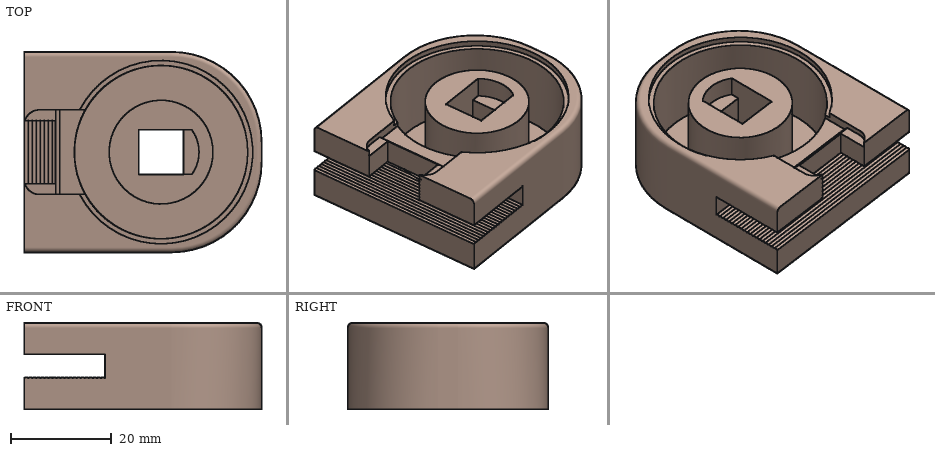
import cadquery as cq

LENGTH = 47.1
WIDTH = 39.8
HEIGHT = 17.2
CORNER_RADIUS = 17.9
EDGE_FILLET = 1.0

BOWL_X = 27.15
BOWL_DIAMETER = 34.4
BOWL_FLOOR_Z = 0.5
RIM_DIAMETER = 36.35
LEDGE_DEPTH = 1.2
BOSS_DIAMETER = 20.6

SQUARE_SIDE = 8.8
POCKET_RADIUS = 7.55
POCKET_FLOOR_Z = 11.7

SLOT_DEPTH = 16.0
SLOT_FLOOR_Z = 6.2
SLOT_TOP_Z = 10.95
RIDGE_COUNT = 20
RIDGE_HEIGHT = 0.2

CHANNEL_WIDTH = 16.75
CHANNEL_CORNER_RADIUS = 3.0
RAMP_START = 6.25
RAMP_LENGTH = 0.8
RAMP_DROP = RAMP_LENGTH

NOTCH_WIDTH = 12.55
NOTCH_LENGTH = 6.12

LEDGE_Z = HEIGHT - LEDGE_DEPTH
CHANNEL_FLOOR_Z = LEDGE_Z - RAMP_DROP


def box(x_start, x_end, width, z_start, z_end):
    """Block between two X and two Z levels, centred across Y."""
    size = (x_end - x_start, width, z_end - z_start)
    return cq.Workplane("XY").box(*size, centered=(False, True, False)).translate((x_start, 0, z_start))


def cylinder(diameter, z_start, z_end):
    """Vertical cylinder on the bowl axis."""
    return cq.Workplane("XY", origin=(BOWL_X, 0, z_start)).circle(diameter / 2).extrude(z_end - z_start)


def housing():
    """Block with two rounded rear corners and a rounded top edge, square at the front end."""
    block = box(0, LENGTH, WIDTH, 0, HEIGHT).edges("|Z and >X").fillet(CORNER_RADIUS)
    return block.faces(">Z").edges("not <X").fillet(EDGE_FILLET)


def bowl():
    """Ring-shaped cavity around the boss, with the wider rim step on top."""
    boss = cylinder(BOSS_DIAMETER, BOWL_FLOOR_Z, LEDGE_Z)
    cavity = cylinder(BOWL_DIAMETER, BOWL_FLOOR_Z, HEIGHT).cut(boss)
    return cavity.union(cylinder(RIM_DIAMETER, LEDGE_Z, HEIGHT))


def drive_hole():
    """Square hole through the boss, opened towards +X by a round-ended pocket."""
    square_start = BOWL_X - SQUARE_SIDE / 2
    square = box(square_start, square_start + SQUARE_SIDE, SQUARE_SIDE, 0, HEIGHT)
    pocket = box(square_start, BOWL_X + POCKET_RADIUS, SQUARE_SIDE, POCKET_FLOOR_Z, HEIGHT)
    pocket = pocket.intersect(cylinder(2 * POCKET_RADIUS, POCKET_FLOOR_Z, HEIGHT))
    return square.union(pocket)


def ridged_slot():
    """Slot across the full width whose floor is a row of low arched ridges."""
    pitch = SLOT_DEPTH / RIDGE_COUNT
    profile = cq.Workplane("XZ", origin=(0, WIDTH / 2, 0)).moveTo(0, SLOT_FLOOR_Z)
    for index in range(RIDGE_COUNT):
        start = index * pitch
        crest = (start + pitch / 2, SLOT_FLOOR_Z + RIDGE_HEIGHT)
        profile = profile.threePointArc(crest, (start + pitch, SLOT_FLOOR_Z))
    return profile.lineTo(SLOT_DEPTH, SLOT_TOP_Z).lineTo(0, SLOT_TOP_Z).close().extrude(WIDTH)


def channel():
    """Round-cornered channel at ledge level that ramps down to a lower floor behind the notch."""
    shallow = box(0, BOWL_X, CHANNEL_WIDTH, LEDGE_Z, HEIGHT)
    shallow = shallow.edges("|Z and <X").fillet(CHANNEL_CORNER_RADIUS)
    ramp_end = RAMP_START + RAMP_LENGTH
    deep = (
        cq.Workplane("XZ", origin=(0, CHANNEL_WIDTH / 2, 0))
        .moveTo(RAMP_START, LEDGE_Z)
        .lineTo(ramp_end, CHANNEL_FLOOR_Z)
        .lineTo(BOWL_X, CHANNEL_FLOOR_Z)
        .lineTo(BOWL_X, LEDGE_Z)
        .close()
        .extrude(CHANNEL_WIDTH)
    )
    return shallow.union(deep).cut(cylinder(BOWL_DIAMETER, 0, HEIGHT))


def notch():
    """Opening through the upper jaw, from the slot to the top."""
    return box(0, NOTCH_LENGTH, NOTCH_WIDTH, SLOT_TOP_Z, HEIGHT)


result = housing()
for cavity in (bowl(), drive_hole(), ridged_slot(), channel(), notch()):
    result = result.cut(cavity)